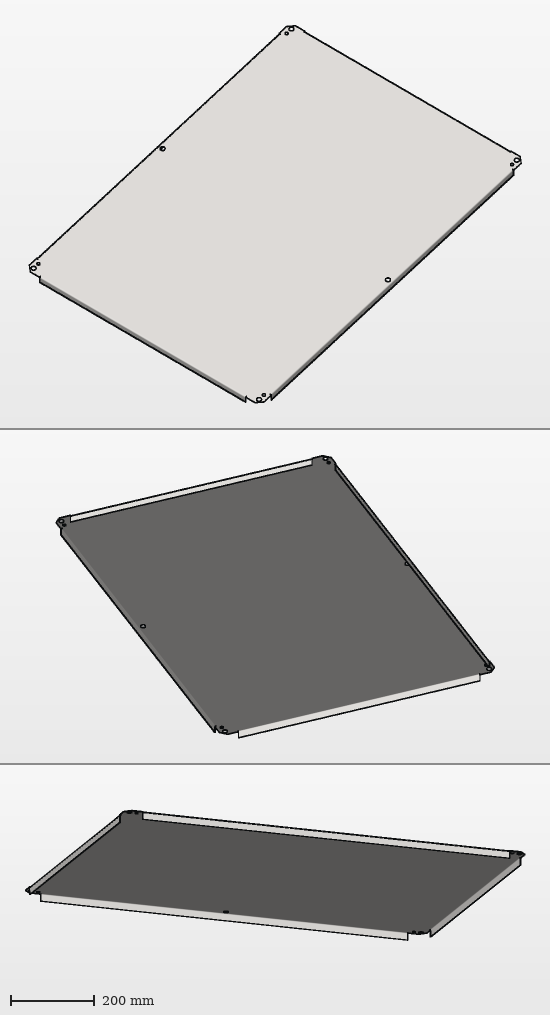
import cadquery as cq

width = 716.0
length = 1021.0
height = 19.0
sheet = 2.0

bend_radius = 4.0
flange_setback = 44.0
corner_cut = 15.0

large_hole = 12.0
small_hole = 8.0
hole_inset = 14.0
small_hole_inset = 33.0

inner_radius = bend_radius - sheet
hole_x = width / 2 - hole_inset


def folded_tray(span_x, span_y, bent_edges):
    """Box open at the bottom, with its two bent edges rounded inside and out."""
    outer = cq.Workplane("XY").box(span_x, span_y, height, centered=(True, True, False))
    outer = outer.faces(">Z").edges(bent_edges).fillet(bend_radius)
    bent_along_y = bent_edges == "|Y"
    inner_x = span_x - 2 * sheet if bent_along_y else span_x
    inner_y = span_y if bent_along_y else span_y - 2 * sheet
    inner = cq.Workplane("XY").box(inner_x, inner_y, height - sheet, centered=(True, True, False))
    inner = inner.faces(">Z").edges(bent_edges).fillet(inner_radius)
    return outer.cut(inner)


def panel_plate():
    """Flat sheet with its four corners cut off at 45 degrees."""
    plate = cq.Workplane("XY").workplane(offset=height - sheet).rect(width, length).extrude(sheet)
    return plate.edges("|Z").chamfer(corner_cut)


def trim_bends(plate):
    """Remove the square plate edges where the rounded bends take over."""
    side_edges = (
        cq.Workplane("XY")
        .pushPoints([(side * (width - bend_radius) / 2, 0) for side in (-1, 1)])
        .rect(bend_radius, length - 2 * flange_setback)
        .extrude(height)
    )
    end_edges = (
        cq.Workplane("XY")
        .pushPoints([(0, end * (length - bend_radius) / 2) for end in (-1, 1)])
        .rect(width - 2 * flange_setback, bend_radius)
        .extrude(height)
    )
    return plate.cut(side_edges).cut(end_edges)


def through_holes(points, diameter):
    return cq.Workplane("XY").pushPoints(points).circle(diameter / 2).extrude(height)


result = trim_bends(panel_plate())
result = result.union(folded_tray(width, length - 2 * flange_setback, "|Y"))
result = result.union(folded_tray(width - 2 * flange_setback, length, "|X"))

corner_y = length / 2 - hole_inset
small_y = length / 2 - small_hole_inset
large_points = [(side * hole_x, y) for side in (-1, 1) for y in (-corner_y, 0, corner_y)]
small_points = [(side * hole_x, y) for side in (-1, 1) for y in (-small_y, small_y)]
result = result.cut(through_holes(large_points, large_hole))
result = result.cut(through_holes(small_points, small_hole))